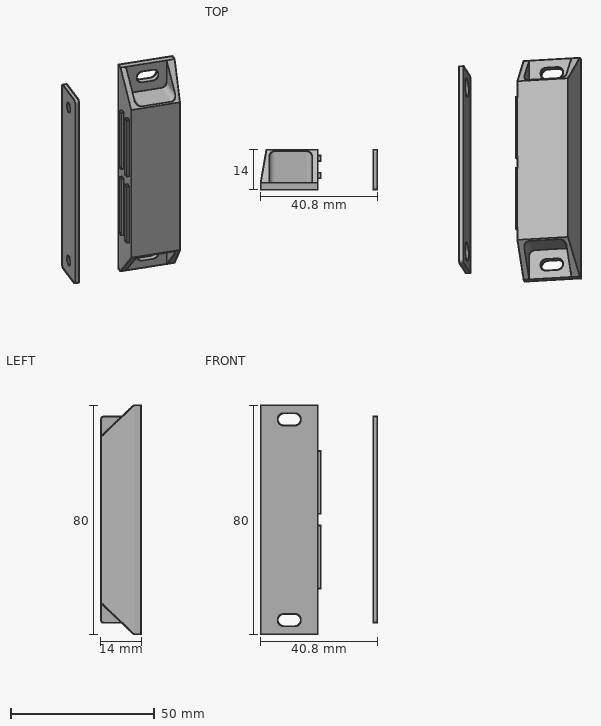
import cadquery as cq

housing_width = 20.0
housing_length = 80.0
total_depth = 14.0
flange_thickness = 2.5
side_taper = 2.0
end_taper = 11.0

slot_length = 8.0
slot_width = 4.2
slot_spacing = 70.0

pocket_left = 3.0
pocket_right = 18.0
pocket_floor_height = 29.5
pocket_corner_radius = 2.0

rib_height = 1.0
rib_thickness = 2.0
rib_length = 22.0
rib_end_gap = 4.0
rib_row_centers = (5.0, 11.0)

plate_gap = 18.25
plate_thickness = 1.5
plate_length = 72.0
plate_corner_radius = 1.0
plate_hole_spacing = 60.0
plate_hole_diameter = 3.5
countersink_diameter = 6.5
countersink_angle = 90.0


def make_block():
    """Tapered body: flange slab plus a block with sloped -X side and Z ends."""
    half_length = housing_length / 2
    side_outline = (
        cq.Workplane("YZ")
        .moveTo(0, -half_length)
        .lineTo(flange_thickness, -half_length)
        .lineTo(total_depth, end_taper - half_length)
        .lineTo(total_depth, half_length - end_taper)
        .lineTo(flange_thickness, half_length)
        .lineTo(0, half_length)
        .close()
        .extrude(housing_width)
    )
    end_outline = (
        cq.Workplane("XY", origin=(0, 0, -half_length))
        .lineTo(housing_width, 0)
        .lineTo(housing_width, total_depth)
        .lineTo(side_taper, total_depth)
        .lineTo(0, flange_thickness)
        .close()
        .extrude(housing_length)
    )
    return side_outline.intersect(end_outline)


def make_slots():
    """Cutters for the two mounting slots, long across X."""
    slot_centers = [(housing_width / 2, side * slot_spacing / 2) for side in (-1, 1)]
    return (
        cq.Workplane("XZ")
        .pushPoints(slot_centers)
        .slot2D(slot_length, slot_width)
        .extrude(-total_depth)
    )


def make_pocket(side):
    """Cutter for the pocket at one Z end, with its floor corners rounded."""
    pocket_height = housing_length / 2 - pocket_floor_height
    pocket_depth = total_depth - flange_thickness
    floor_edges = "<Z" if side > 0 else ">Z"
    return (
        cq.Workplane("XY")
        .box(pocket_right - pocket_left, pocket_depth, pocket_height)
        .faces(floor_edges)
        .edges("|Y")
        .fillet(pocket_corner_radius)
        .translate((
            (pocket_left + pocket_right) / 2,
            flange_thickness + pocket_depth / 2,
            side * (pocket_floor_height + pocket_height / 2),
        ))
    )


def make_ribs():
    """Four ribs: two rows along Y, two in line along Z."""
    rib_offset = (rib_end_gap + rib_length) / 2
    rib_centers = [(y, side * rib_offset) for y in rib_row_centers for side in (-1, 1)]
    return (
        cq.Workplane("YZ", origin=(housing_width, 0, 0))
        .pushPoints(rib_centers)
        .rect(rib_thickness, rib_length)
        .extrude(rib_height)
    )


def make_housing():
    housing = make_block().cut(make_slots())
    for side in (-1, 1):
        housing = housing.cut(make_pocket(side))
    return housing.union(make_ribs())


def make_plate():
    """Flat plate with rounded corners, countersunk from its -X face."""
    plate_left = housing_width + rib_height + plate_gap
    hole_centers = [(0, side * plate_hole_spacing / 2) for side in (-1, 1)]
    return (
        cq.Workplane("YZ", origin=(plate_left, total_depth / 2, 0))
        .rect(total_depth, plate_length)
        .extrude(plate_thickness)
        .edges("|X")
        .fillet(plate_corner_radius)
        .faces("<X")
        .workplane(origin=(plate_left, total_depth / 2, 0))
        .pushPoints(hole_centers)
        .cskHole(plate_hole_diameter, countersink_diameter, countersink_angle)
    )


housing = make_housing()
plate = make_plate()
result = cq.Compound.makeCompound([housing.val(), plate.val()])